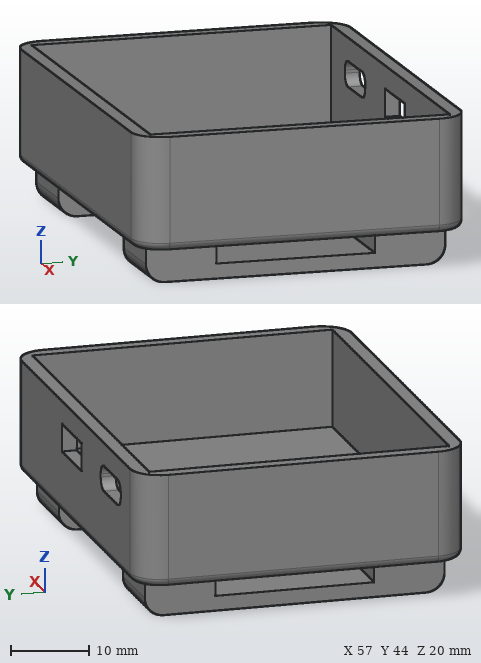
import cadquery as cq

length = 57.0
width = 44.0
total_height = 20.0
body_height = 15.0
wall = 2.0
floor = 2.0
corner_radius = 4.0
bottom_fillet = 1.0

loop_width = 10.0
loop_height = total_height - body_height
loop_inset = corner_radius
loop_end_radius = 2.5
strap_gap_length = 21.2
strap_gap_height = 3.0
loop_overlap = floor / 2

round_port_start = 6.1
round_port_length = 9.1
round_port_height = 3.35
round_port_depth = 4.8
round_port_corner = 1.5
square_port_start = 24.0
square_port_length = 8.85
square_port_height = 3.7
square_port_depth = 4.9

inner_length = length - 2 * wall
inner_width = width - 2 * wall


def tray():
    """Rounded box with a square-cornered pocket, its underside at Z = 0."""
    body = (
        cq.Workplane("XY")
        .box(length, width, body_height, centered=(True, True, False))
        .edges("|Z")
        .fillet(corner_radius)
        .faces("<Z")
        .edges()
        .fillet(bottom_fillet)
    )
    pocket = (
        cq.Workplane("XY")
        .workplane(offset=floor)
        .rect(inner_length, inner_width)
        .extrude(body_height - floor)
    )
    return body.cut(pocket)


def strap_loop(x_center):
    """Bar along Y with rounded lower ends and a gap for a strap."""
    bar = (
        cq.Workplane("XY", origin=(x_center, 0, -loop_height))
        .box(loop_width, inner_width, loop_height + loop_overlap, centered=(True, True, False))
        .edges("|X and <Z")
        .fillet(loop_end_radius)
    )
    gap = (
        cq.Workplane("XY", origin=(x_center, 0, -strap_gap_height))
        .box(loop_width, strap_gap_length, strap_gap_height, centered=(True, True, False))
    )
    return bar.cut(gap)


def port(start, port_length, port_height, port_depth):
    """Rectangular cutter that passes through the +Y wall."""
    x_center = -inner_length / 2 + start + port_length / 2
    wall_middle = (inner_width + wall) / 2
    return (
        cq.Workplane("XY", origin=(x_center, wall_middle, body_height - port_depth))
        .box(port_length, wall, port_height)
    )


result = tray()
loop_x = length / 2 - loop_inset - loop_width / 2
for side in (-1, 1):
    result = result.union(strap_loop(side * loop_x))
result = result.cut(
    port(square_port_start, square_port_length, square_port_height, square_port_depth)
)
result = result.cut(
    port(round_port_start, round_port_length, round_port_height, round_port_depth)
    .edges("|Y")
    .fillet(round_port_corner)
)